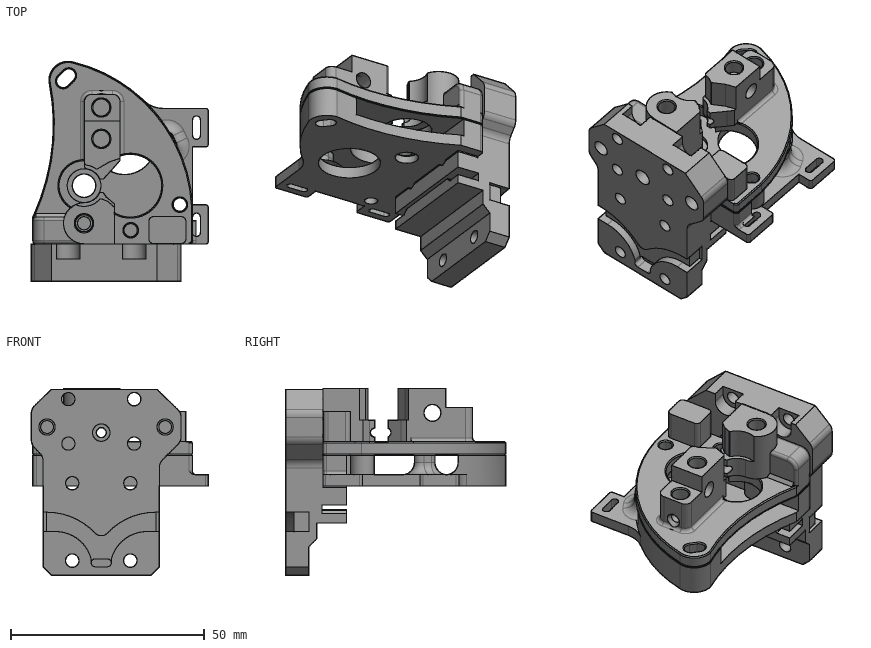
import cadquery as cq
import math


plate_thickness = 9.6
shelf_depth = 15.7
pad_bottom = 22.65
housing_bottom = 23.0
floor_top = 26.0
split_level = 31.0
deck_top = 34.5
block_top = 42.35
total_height = 48.3
seam_height = 0.3
seam_inset = 0.25
rim_bevel = 0.3
through = 200.0

plate_half_width = 15.0
carriage_hole_diameter = 3.4
carriage_holes_x = 8.5
carriage_top_z = 45.5
carriage_middle_z = 34.0
belt_holes_x = 7.5
shelf_hole_z = 23.8
foot_hole_z = 3.8
side_screws_x = (-14.0, 16.5)
side_screw_z = 38.3
side_screw_diameter = 4.2
side_thread_diameter = 3.3
side_thread_depth = 5.0
filament_z = 36.85
filament_diameter = 2.5
filament_tube_diameter = 4.5

roller_centre = (-4.45, 24.7)
gear_centre = (7.5, 24.7)
motor_centre = (6.0, 35.6)
apex_centre = (-8.55, 51.84)
apex_radius = 5.0
post_centre = (20.3, 19.8)
boss_centre = (-4.45, 15.0)
housing_left = -17.7
housing_right = 23.6
front_corner_radius = 0.95
wall_rear = 16.6
flank_end = 19.6


def cylinder(centre, radius, bottom, top):
    """Upright cylinder between two levels."""
    return cq.Workplane("XY").workplane(offset=bottom).center(*centre).circle(radius).extrude(top - bottom)


def box(x0, x1, y0, y1, z0, z1):
    """Box given by its limits."""
    return cq.Workplane("XY").box(x1 - x0, y1 - y0, z1 - z0, centered=False).translate((x0, y0, z0))


def prism(points, bottom, top):
    """Upright prism over an (x, y) polygon."""
    return cq.Workplane("XY").workplane(offset=bottom).polyline(points).close().extrude(top - bottom)


def bore_y(x, z, diameter, start, end):
    """Cylinder along Y between two depths."""
    plane = cq.Workplane("XZ", origin=(0, start, 0))
    return plane.center(x, z).circle(diameter / 2).extrude(start - end)


plate_top = 48.05
plate_left = -18.1
plate_right = 20.6
foot_chamfer = 2.1
top_corner_x = (-12.9, 14.4)
top_corner_z = 42.95
top_corner_right_z = 42.0
flare_bottom_left_z = 30.6
flare_bottom_right_z = 29.0
flare_left_top_z = 33.9
flare_right_top_z = 34.6
plate_corner_radius = 2.8
flare_root_radius = 3.0


def plate_outline():
    left, right = top_corner_x
    points = [
        (foot_chamfer - plate_half_width, 0),
        (plate_half_width - foot_chamfer, 0),
        (plate_half_width, foot_chamfer),
        (plate_half_width, flare_bottom_right_z),
        (plate_right, flare_right_top_z),
        (plate_right, top_corner_right_z),
        (right, plate_top),
        (left, plate_top),
        (plate_left, top_corner_z),
        (plate_left, flare_left_top_z),
        (-plate_half_width, flare_bottom_left_z),
        (-plate_half_width, foot_chamfer),
    ]
    outline = cq.Workplane("XZ").polyline(points).close().extrude(-plate_thickness)
    for x in (plate_left, plate_right):
        side = cq.selectors.BoxSelector((x - 0.1, -1, 30), (x + 0.1, plate_thickness + 1, 45))
        outline = outline.edges(side).edges("|Y").fillet(plate_corner_radius)
    for x in (-plate_half_width, plate_half_width):
        root = cq.selectors.BoxSelector((x - 0.1, -1, 25), (x + 0.1, plate_thickness + 1, 31))
        outline = outline.edges(root).edges("|Y").fillet(flare_root_radius)
    return outline


foot_depth = 6.0
step_depth = 8.06
step_start_z = 7.4
block_bottom_z = 13.5


def plate_side_profile():
    """Rear stepping of the plate below the housing: cutter for the foot plus the block behind."""
    foot_cut = (
        cq.Workplane("YZ", origin=(-through / 2, 0, 0))
        .moveTo(foot_depth, -1)
        .lineTo(foot_depth, step_start_z)
        .lineTo(step_depth, step_start_z + step_depth - foot_depth)
        .lineTo(step_depth, block_bottom_z)
        .lineTo(through, block_bottom_z)
        .lineTo(through, -1)
        .close()
        .extrude(through)
    )
    shelf = box(-plate_half_width, plate_half_width, plate_thickness, shelf_depth, block_bottom_z, pad_bottom)
    return foot_cut, shelf


slot_floor_z = 15.9
slot_top_z = 18.1
slot_front = 9.4
ridge_ramp_z = 16.7
ridge_top_z = 17.0
ridge_half_base = 11.0
ridge_half_top = 10.0


def belt_slot():
    points = [
        (-plate_half_width, slot_floor_z),
        (-ridge_half_base, slot_floor_z),
        (-ridge_half_top, ridge_ramp_z),
        (-ridge_half_top, ridge_top_z),
        (ridge_half_top, ridge_top_z),
        (ridge_half_top, ridge_ramp_z),
        (ridge_half_base, slot_floor_z),
        (plate_half_width, slot_floor_z),
        (plate_half_width, slot_top_z),
        (-plate_half_width, slot_top_z),
    ]
    plane = cq.Workplane("XZ", origin=(0, slot_front, 0))
    return plane.polyline(points).close().extrude(-(shelf_depth - slot_front))


channel_depth = 2.1
channel_top_z = 16.3
channel_bottom_z = 11.3
upper_arc_start_x = 14.1
upper_arc_radius = 17.2
lower_arc_start_x = 11.8
lower_arc_radius = 9.5
valley_radius = 2.2
drain_half_width = 2.6
drain_bottom_z = 2.2
drain_height = 2.05
drain_depth = 3.0
side_notch = 0.9


def arc_points(start_x, top_z, radius, end_x):
    """Middle and end of an arc that leaves a level line at start_x and falls towards end_x."""
    reach = start_x - end_x
    end_angle = math.asin(reach / radius)
    middle = (start_x - radius * math.sin(end_angle / 2), top_z - radius * (1 - math.cos(end_angle / 2)))
    end = (end_x, top_z - radius * (1 - math.cos(end_angle)))
    return middle, end


def mirror_x(point):
    return (-point[0], point[1])


def belt_channel():
    upper_middle, valley = arc_points(upper_arc_start_x, channel_top_z, upper_arc_radius, 0)
    lower_middle, lower_end = arc_points(lower_arc_start_x, channel_bottom_z, lower_arc_radius, drain_half_width)
    drain_middle_z = drain_bottom_z + drain_height / 2
    channel = (
        cq.Workplane("XZ")
        .moveTo(-plate_half_width, channel_top_z)
        .lineTo(-upper_arc_start_x, channel_top_z)
        .threePointArc(mirror_x(upper_middle), valley)
        .threePointArc(upper_middle, (upper_arc_start_x, channel_top_z))
        .lineTo(plate_half_width, channel_top_z)
        .lineTo(plate_half_width, channel_bottom_z)
        .lineTo(lower_arc_start_x, channel_bottom_z)
        .threePointArc(lower_middle, lower_end)
        .lineTo(drain_half_width, drain_middle_z)
        .lineTo(-drain_half_width, drain_middle_z)
        .lineTo(*mirror_x(lower_end))
        .threePointArc(mirror_x(lower_middle), (-lower_arc_start_x, channel_bottom_z))
        .lineTo(-plate_half_width, channel_bottom_z)
        .close()
        .extrude(-channel_depth)
    )
    valley_edge = cq.selectors.BoxSelector((-0.1, -1, valley[1] - 0.1), (0.1, channel_depth + 1, valley[1] + 0.1))
    channel = channel.edges(valley_edge).edges("|Y").fillet(valley_radius)
    drain = (
        cq.Workplane("XZ")
        .center(0, drain_middle_z)
        .slot2D(2 * drain_half_width, drain_height)
        .extrude(-drain_depth)
    )
    return channel.union(drain)


head_pocket_width = 6.1
head_pocket_depth = 3.8


def head_pocket(x):
    half = head_pocket_width / 2
    back = plate_thickness
    front = plate_thickness - head_pocket_depth
    seat = bore_y(x, carriage_top_z, head_pocket_width, front, back)
    return seat.union(box(x - half, x + half, front, back, carriage_top_z, plate_top))


def make_plate():
    foot_cut, shelf = plate_side_profile()
    body = plate_outline().cut(foot_cut).union(shelf).cut(belt_slot()).cut(belt_channel())
    for side in (-1, 1):
        x0 = min(side * plate_half_width, side * (plate_half_width - side_notch))
        body = body.cut(box(x0, x0 + side_notch, 0, foot_depth, channel_bottom_z, channel_top_z))
        body = body.cut(head_pocket(side * carriage_holes_x))
        for x, z in (
            (carriage_holes_x, carriage_top_z),
            (carriage_holes_x, carriage_middle_z),
            (belt_holes_x, shelf_hole_z),
            (belt_holes_x, foot_hole_z),
        ):
            body = body.cut(bore_y(side * x, z, carriage_hole_diameter, 0, shelf_depth))
    for x in side_screws_x:
        body = body.cut(bore_y(x, side_screw_z, side_screw_diameter, 0, plate_thickness))
    return body.cut(bore_y(0, filament_z, filament_tube_diameter, 0, plate_thickness))


left_flank_middle = (-12.7, 34.7)
right_flank_middle = (12.6, 45.1)
apex_exit_angle = math.radians(75)
roller_hole_radius = 3.0
post_hole_diameter = 3.4
apex_slot_centre = (-9.1, 52.45)
apex_slot_length = 5.45
apex_slot_width = 3.4
apex_slot_angle = 45


def housing_plan(level):
    """Sail-shaped outline at a level: straight front, two curved flanks and a round apex."""
    apex_x, apex_y = apex_centre
    apex_left = (apex_x - apex_radius, apex_y)
    apex_middle_angle = (math.pi + apex_exit_angle) / 2
    apex_middle = (
        apex_x + apex_radius * math.cos(apex_middle_angle),
        apex_y + apex_radius * math.sin(apex_middle_angle),
    )
    apex_exit = (
        apex_x + apex_radius * math.cos(apex_exit_angle),
        apex_y + apex_radius * math.sin(apex_exit_angle),
    )
    corner = front_corner_radius
    return (
        cq.Workplane("XY")
        .workplane(offset=level)
        .moveTo(housing_left + corner, plate_thickness)
        .radiusArc((housing_left, plate_thickness + corner), corner)
        .lineTo(housing_left, wall_rear)
        .threePointArc(left_flank_middle, apex_left)
        .threePointArc(apex_middle, apex_exit)
        .threePointArc(right_flank_middle, (housing_right, flank_end))
        .lineTo(housing_right, plate_thickness + corner)
        .radiusArc((housing_right - corner, plate_thickness), corner)
        .close()
    )


def housing_holes():
    """Post screw hole and the slanted apex slot."""
    slot = (
        cq.Workplane("XY")
        .workplane(offset=housing_bottom)
        .center(*apex_slot_centre)
        .slot2D(apex_slot_length, apex_slot_width, apex_slot_angle)
        .extrude(deck_top - housing_bottom)
    )
    return cylinder(post_centre, post_hole_diameter / 2, housing_bottom, deck_top).union(slot)


clamp_hole_centre = (7.6, 13.2)
clamp_hole_diameter = 3.4
clamp_hole_bottom = 28.0

ear_right = 27.65
ear_corner = 0.7
ear_root_radius = 7.0
ear_root_fillet = 0.9
front_ear_rear = 19.8
rear_ear_front = 34.7
rear_ear_rear = 44.7
ear_slot_x = 24.6
ear_slots_y = (14.6, 39.7)
ear_slot_length = 6.0
ear_slot_width = 1.95
cavity_rear = 44.5
cavity_pocket_rear = 51.0
cavity_split_x = 1.0
apex_column_radius = 7.9
cavity_base_fillet = 3.1
motor_hole_radius = 8.0
roller_seat_radius = 4.35
roller_seat_depth = 1.0
post_radius = 3.1
boss_post_radius = 3.1
pillar_centre = (17.4, 35.9)
pillar_length = 5.6
pillar_width = 3.5
pillar_angle = -64


def ear(y0, y1):
    """Floor strip that carries one slotted ear on its right end."""
    return box(0, ear_right, y0, y1, housing_bottom, floor_top).edges("|Z and >X").fillet(ear_corner)


def ear_slot(y):
    return (
        cq.Workplane("XY", origin=(ear_slot_x, y, housing_bottom))
        .slot2D(ear_slot_length, ear_slot_width, 90)
        .extrude(floor_top - housing_bottom)
    )


def lower_floor():
    """Floor with a straight right edge and two ears."""
    floor = housing_plan(housing_bottom).extrude(floor_top - housing_bottom)
    floor = floor.union(box(0, housing_right, plate_thickness + 1, rear_ear_rear, housing_bottom, floor_top))
    floor = floor.union(ear(plate_thickness, front_ear_rear)).union(ear(rear_ear_front, rear_ear_rear))
    root = cq.selectors.BoxSelector((11, rear_ear_rear - 0.1, 0), (15, rear_ear_rear + 0.1, 50))
    return floor.edges(root).edges("|Z").fillet(ear_root_radius)


def gear_cavity():
    """Space above the floor, open on both flanks: a round column at the apex and a wall with a rounded foot."""
    left_side = box(-30, cavity_split_x, shelf_depth, cavity_pocket_rear, floor_top, split_level)
    left_side = left_side.cut(cylinder(apex_slot_centre, apex_column_radius, floor_top, split_level))
    right_side = box(cavity_split_x, 30, shelf_depth, cavity_rear, floor_top, split_level)
    right_side = right_side.edges("|X and >Y and <Z").fillet(cavity_base_fillet)
    return left_side.union(right_side)


def pillar():
    """Short wall on the right flank."""
    return (
        cq.Workplane("XY")
        .workplane(offset=floor_top)
        .center(*pillar_centre)
        .slot2D(pillar_length, pillar_width, pillar_angle)
        .extrude(split_level - floor_top)
    )


def fillet_ear_root(body):
    """Fillet between the front ear and the housing wall."""
    root = cq.selectors.BoxSelector(
        (housing_right - 0.1, plate_thickness + front_corner_radius, floor_top - 0.1),
        (housing_right + 0.1, flank_end + 0.1, floor_top + 0.1),
    )
    return body.edges(root).fillet(ear_root_fillet)


def make_lower_housing():
    walls = housing_plan(floor_top).extrude(split_level - floor_top).cut(gear_cavity())
    body = lower_floor().union(pillar())
    foot = cq.selectors.BoxSelector((13, 32, floor_top - 0.1), (21, 40, floor_top + 0.1))
    body = body.edges(foot).fillet(cavity_base_fillet)
    body = body.union(walls).union(cylinder(post_centre, post_radius, floor_top, split_level))
    body = body.union(cylinder(boss_centre, boss_post_radius, floor_top, split_level))
    body = fillet_ear_root(body)
    pad = box(-plate_half_width, plate_half_width, plate_thickness, shelf_depth, pad_bottom, housing_bottom)
    for x in (-belt_holes_x, belt_holes_x):
        pad = pad.cut(bore_y(x, shelf_hole_z, carriage_hole_diameter, plate_thickness, shelf_depth))
    body = body.union(pad)
    body = body.cut(cylinder(motor_centre, motor_hole_radius, housing_bottom, floor_top))
    body = body.cut(cylinder(roller_centre, roller_hole_radius, housing_bottom, floor_top))
    body = body.cut(cylinder(roller_centre, roller_seat_radius, floor_top - roller_seat_depth, floor_top))
    body = body.cut(cylinder(clamp_hole_centre, clamp_hole_diameter / 2, clamp_hole_bottom, split_level))
    for y in ear_slots_y:
        body = body.cut(ear_slot(y))
    return body.cut(housing_holes())


roller_opening_radius = 6.45
gear_opening_radius = 8.1
roller_clearance_low = 4.4
roller_clearance_high = 5.35
tip_top = 40.1
tower_left = -4.35
tower_right = 4.85
tower_rear = 48.3
tower_step_y = 41.4
tower_step_z = 43.4
tower_corner = 1.9
tower_front_round = 0.8
tower_foot = 1.0
tower_holes_y = (36.8, 44.9)
tower_hole_diameter = 4.4
tower_hole_depth = 4.0
cross_hole_y = 37.9
cross_hole_z = 41.95
cross_hole_diameter = 4.3
funnel_diameter = 4.8
funnel_depth = 1.1


def hole_rim(x, y, top, radius):
    """Small lead-in cone around a hole."""
    return cq.Workplane("XY", origin=(x, y, top)).circle(radius + rim_bevel).extrude(-rim_bevel, taper=45)


def insert_hole(x, y, top, diameter, depth):
    """Blind hole with a small lead-in chamfer."""
    return cylinder((x, y), diameter / 2, top - depth, top).union(hole_rim(x, y, top, diameter / 2))


def tower():
    """Stepped idler tower with a low guide tip reaching between roller and gear."""
    high_points = [
        (tower_left, tower_rear),
        (tower_right, tower_rear),
        (tower_right, 31.75),
        (2.1, 30.85),
        (-1.05, 29.0),
        (tower_left, 29.0),
    ]
    low_points = [
        (tower_left, tower_rear),
        (tower_right, tower_rear),
        (tower_right, 31.2),
        (3.6, 29.75),
        (0.6, 26.45),
        (-0.3, 26.45),
        (tower_left, 26.45),
    ]
    high = prism(high_points, tip_top, total_height)
    high = high.cut(cylinder(roller_centre, roller_clearance_high, tip_top, total_height))
    low = prism(low_points, deck_top, tip_top)
    low = low.cut(cylinder(roller_centre, roller_clearance_low, deck_top, tip_top))
    body = high.union(low).edges("|Z and >Y").fillet(tower_corner)
    front = cq.selectors.BoxSelector((tower_left - 0.1, 26, 0), (tower_left + 0.1, 31, 50))
    body = body.edges(front).edges("|Z").fillet(tower_front_round)
    return body.cut(box(-10, 10, tower_step_y, tower_rear, tower_step_z, total_height))


def tower_foot_fillet():
    """Filleted foot that leads the deck up into the tower walls."""
    _, front = roller_centre
    footing = box(tower_left - 1.5, tower_right + 1.5, front, tower_rear + 1.5, deck_top - 1, deck_top)
    core = box(tower_left, tower_right, front, tower_rear, deck_top, deck_top + tower_foot)
    core = core.edges("|Z and >Y").fillet(tower_corner)
    side = cq.selectors.BoxSelector(
        (tower_left - 0.1, front + 0.1, deck_top - 0.1),
        (tower_right + 0.1, tower_rear + 0.1, deck_top + 0.1),
    )
    return footing.union(core).edges(side).fillet(tower_foot - 0.01)


boss_radius = 5.3
boss_right = 3.4
boss_hole_diameter = 4.4
boss_hole_depth = 6.0
boss_pilot_diameter = 3.4
boss_pilot_depth = 10.0


def boss():
    """Tensioner boss against the plate, with the second guide tip."""
    centre_x, centre_y = boss_centre
    high_points = [
        (centre_x, plate_thickness),
        (boss_right, plate_thickness),
        (boss_right, 19.1),
        (1.75, 20.6),
        (0.05, 21.3),
        (centre_x, 21.3),
    ]
    low_points = [
        (centre_x, plate_thickness),
        (boss_right, plate_thickness),
        (boss_right, 20.0),
        (1.4, 21.7),
        (0.4, 23.0),
        (-0.3, 23.0),
        (centre_x, 23.0),
    ]
    round_side = cylinder(boss_centre, boss_radius, deck_top, total_height)
    high = prism(high_points, tip_top, total_height).union(round_side)
    high = high.cut(cylinder(roller_centre, roller_clearance_high, tip_top, total_height))
    low = prism(low_points, deck_top, tip_top)
    body = high.union(low)
    return body.cut(cylinder(roller_centre, roller_clearance_low, deck_top, tip_top))


left_block_right = -5.0
left_block_round = 2.9
left_block_edge = 0.9
right_block_left = 12.3
right_block_right = 21.85
right_block_front = 9.75
right_block_rear = 16.7
right_block_corner = 1.2


def left_block_foot():
    """Bevel that leads the deck up into the rear of the left screw block."""
    return (
        cq.Workplane("YZ", origin=(housing_left + left_block_edge, 0, 0))
        .moveTo(wall_rear, deck_top)
        .lineTo(wall_rear + left_block_edge, deck_top)
        .lineTo(wall_rear, deck_top + left_block_edge)
        .close()
        .extrude(left_block_right - housing_left - left_block_edge)
    )


def screw_blocks():
    """Blocks on the deck that take the two side screws."""
    left = box(housing_left, left_block_right, plate_thickness, wall_rear, deck_top - rim_bevel, block_top)
    left = left.edges("|Y and >Z and <X").fillet(left_block_round)
    left = left.faces(">Y or <Y").edges("not <Z").edges("not >X").fillet(left_block_edge)
    right = box(right_block_left, right_block_right, right_block_front, right_block_rear, deck_top - 1, block_top)
    right = right.edges("|Z").fillet(right_block_corner)
    return left, right


def filament_funnel():
    """Conical filament entry in the rear of the tower."""
    mouth_y = tower_rear + tower_foot
    return (
        cq.Workplane("XZ", origin=(0, mouth_y, filament_z))
        .circle(funnel_diameter / 2)
        .workplane(offset=tower_foot + funnel_depth)
        .circle(filament_diameter / 2)
        .loft()
    )


def deck():
    """Deck plate with a shadow gap below, a bevelled rim and the roller and gear opening."""
    rim_level = deck_top - rim_bevel
    seam_top = split_level + seam_height
    plate_body = housing_plan(split_level).offset2D(-seam_inset).extrude(seam_height)
    plate_body = plate_body.union(housing_plan(seam_top).extrude(rim_level - seam_top))
    plate_body = plate_body.union(housing_plan(rim_level).extrude(rim_bevel, taper=45))
    front_strip = box(
        housing_left + front_corner_radius,
        housing_right - front_corner_radius,
        plate_thickness,
        plate_thickness + 2 * rim_bevel,
        rim_level,
        deck_top,
    )
    plate_body = plate_body.union(front_strip).union(tower_foot_fillet())
    for centre, radius in ((roller_centre, roller_opening_radius), (gear_centre, gear_opening_radius)):
        plate_body = plate_body.cut(cylinder(centre, radius, split_level, deck_top + tower_foot))
        plate_body = plate_body.cut(hole_rim(*centre, deck_top, radius))
    return plate_body


def make_upper_housing():
    body = deck()
    body = body.union(tower()).union(boss()).union(left_block_foot())
    for block in screw_blocks():
        body = body.union(block)
    for y, top in zip(tower_holes_y, (total_height, tower_step_z)):
        body = body.cut(insert_hole(0, y, top, tower_hole_diameter, tower_hole_depth))
    centre_x, centre_y = boss_centre
    body = body.cut(insert_hole(centre_x, centre_y, total_height, boss_hole_diameter, boss_hole_depth))
    body = body.cut(cylinder(boss_centre, boss_pilot_diameter / 2, total_height - boss_pilot_depth, total_height))
    clamp_hole = insert_hole(*clamp_hole_centre, deck_top, clamp_hole_diameter, deck_top - split_level)
    body = body.cut(clamp_hole)
    for x in side_screws_x:
        thread_end = plate_thickness + side_thread_depth
        body = body.cut(bore_y(x, side_screw_z, side_thread_diameter, plate_thickness, thread_end))
    body = body.cut(bore_y(0, filament_z, filament_diameter, plate_thickness, tower_rear))
    body = body.cut(filament_funnel())
    cross_hole = cq.Workplane("YZ", origin=(tower_left, cross_hole_y, cross_hole_z))
    body = body.cut(cross_hole.circle(cross_hole_diameter / 2).extrude(tower_right - tower_left))
    body = body.cut(hole_rim(*post_centre, deck_top, post_hole_diameter / 2))
    slot_mouth = (
        cq.Workplane("XY", origin=(*apex_slot_centre, deck_top))
        .slot2D(apex_slot_length + 2 * rim_bevel, apex_slot_width + 2 * rim_bevel, apex_slot_angle)
        .extrude(-rim_bevel, taper=45)
    )
    return body.cut(slot_mouth).cut(housing_holes())


plate = make_plate()
lower_housing = make_lower_housing()
upper_housing = make_upper_housing()
result = cq.Compound.makeCompound([plate.val(), lower_housing.val(), upper_housing.val()])